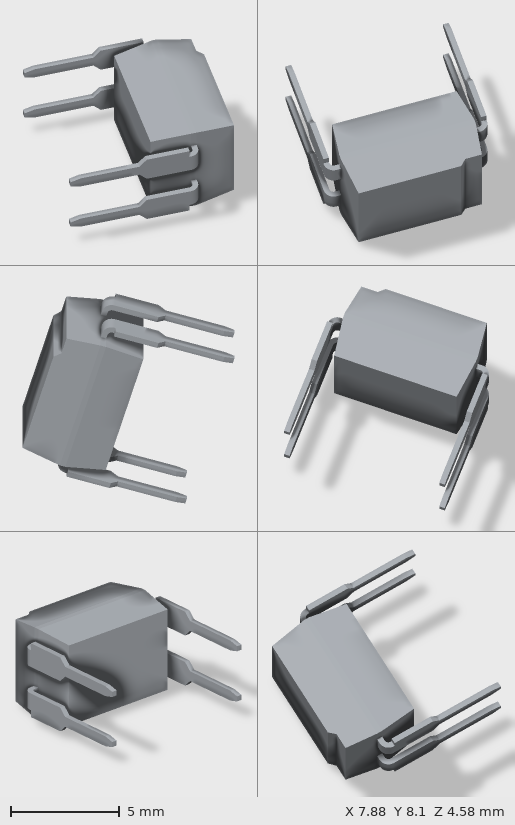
import cadquery as cq
import math

OVERALL_WIDTH = 7.88
OVERALL_LENGTH = 8.1

HOUSING_WIDTH = 6.51
HOUSING_HEIGHT = 4.58
HOUSING_DEPTH = 4.0
BAND_DEPTH = 0.27
DRAFT_INSET = 0.25
HALF_DEPTH = (HOUSING_DEPTH - BAND_DEPTH) / 2
DRAFT_ANGLE = math.degrees(math.atan(DRAFT_INSET / HALF_DEPTH))

NOTCH_DEPTH = 0.29
NOTCH_FLAT_END_X = -2.24

LEAD_COUNT_PER_SIDE = 2
LEAD_PITCH = 2.54
LEAD_THICKNESS = BAND_DEPTH
BEND_INNER_RADIUS = 0.2
BEND_OUTER_RADIUS = BEND_INNER_RADIUS + LEAD_THICKNESS
PIN_WIDTH = 0.5
SHOULDER_WIDTH = 0.35
BLADE_WIDTH = PIN_WIDTH + 2 * SHOULDER_WIDTH
TIP_WIDTH = 0.26
TIP_LENGTH = 0.48
BLADE_START_Y = -0.53
BLADE_END_Y = -2.58
PIN_START_Y = BLADE_END_Y - SHOULDER_WIDTH
TIP_Y = HALF_DEPTH - OVERALL_LENGTH


def make_housing():
    """Two drafted halves on either side of a straight parting band, with a notch."""
    band = cq.Workplane("XZ").rect(HOUSING_WIDTH, HOUSING_HEIGHT).extrude(BAND_DEPTH)
    back = (
        cq.Workplane("XZ")
        .rect(HOUSING_WIDTH, HOUSING_HEIGHT)
        .extrude(-HALF_DEPTH, taper=DRAFT_ANGLE)
    )
    front = (
        cq.Workplane("XZ", origin=(0, -BAND_DEPTH, 0))
        .rect(HOUSING_WIDTH, HOUSING_HEIGHT)
        .extrude(HALF_DEPTH, taper=DRAFT_ANGLE)
    )
    return band.union(back).union(front).cut(make_notch())


def make_notch():
    """Full-height corner cut ending in a 45 degree ramp."""
    floor_y = HALF_DEPTH - NOTCH_DEPTH
    return (
        cq.Workplane("XY")
        .moveTo(-HOUSING_WIDTH / 2, floor_y)
        .lineTo(NOTCH_FLAT_END_X, floor_y)
        .lineTo(NOTCH_FLAT_END_X + NOTCH_DEPTH, HALF_DEPTH)
        .lineTo(-HOUSING_WIDTH / 2, HALF_DEPTH)
        .close()
        .extrude(HOUSING_HEIGHT / 2, both=True)
    )


def make_bent_strip():
    """Bent sheet profile of a -X lead, as tall as its blade."""
    outer_x = -OVERALL_WIDTH / 2
    inner_x = outer_x + LEAD_THICKNESS
    bend_x = outer_x + BEND_OUTER_RADIUS
    root_x = -HOUSING_WIDTH / 2
    return (
        cq.Workplane("XY")
        .moveTo(root_x, 0)
        .lineTo(bend_x, 0)
        .radiusArc((outer_x, -BEND_OUTER_RADIUS), -BEND_OUTER_RADIUS)
        .lineTo(outer_x, TIP_Y)
        .lineTo(inner_x, TIP_Y)
        .lineTo(inner_x, -BEND_OUTER_RADIUS)
        .radiusArc((bend_x, -LEAD_THICKNESS), BEND_INNER_RADIUS)
        .lineTo(root_x, -LEAD_THICKNESS)
        .close()
        .extrude(BLADE_WIDTH / 2, both=True)
    )


def make_lead_outline():
    """Side outline of a lead: neck, one-sided step, blade, pin and tapered tip."""
    blade_half = BLADE_WIDTH / 2
    pin_half = PIN_WIDTH / 2
    tip_half = TIP_WIDTH / 2
    taper_start_y = TIP_Y + TIP_LENGTH
    return (
        cq.Workplane("YZ")
        .polyline([
            (0, -blade_half),
            (BLADE_END_Y, -blade_half),
            (PIN_START_Y, -pin_half),
            (taper_start_y, -pin_half),
            (TIP_Y, -tip_half),
            (TIP_Y, tip_half),
            (taper_start_y, pin_half),
            (PIN_START_Y, pin_half),
            (BLADE_END_Y, blade_half),
            (BLADE_START_Y, blade_half),
            (BLADE_START_Y, pin_half),
            (0, pin_half),
        ])
        .close()
        .extrude(-OVERALL_WIDTH / 2)
    )


def make_leads():
    """Leads on both sides, each stepped toward the nearer end of the housing."""
    left_upper = make_bent_strip().intersect(make_lead_outline())
    left_lower = left_upper.mirror("XY")
    leads = []
    for index in range(LEAD_COUNT_PER_SIDE):
        z = (index - (LEAD_COUNT_PER_SIDE - 1) / 2) * LEAD_PITCH
        shape = left_upper if z > 0 else left_lower
        left_lead = shape.translate((0, 0, z))
        leads.append(left_lead.val())
        leads.append(left_lead.mirror("YZ").val())
    return leads


housing = make_housing()
leads = make_leads()
result = cq.Compound.makeCompound([housing.val(), *leads])